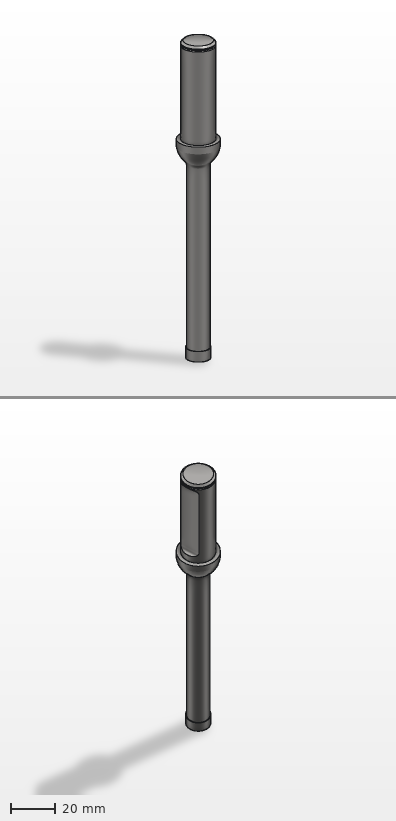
import cadquery as cq
import math

total_length = 157.0
tip_shoulder_z = 1.9
tip_top_z = 7.0
shaft_end_z = 96.2
neck_top_z = 98.6
flange_bottom_z = 105.2
flange_top_z = 108.8

tip_radius = 11.5 / 2
shaft_radius = 10.8 / 2
neck_radius = 6.6
flange_radius = 20.0 / 2
shank_radius = 16.0 / 2

flare_arc_radius = 11.0

top_chamfer = 1.1

groove_z = 155.0
groove_width = 1.0
groove_depth = 0.3

flat_depth = 1.9
flat_start_z = 112.4
flat_end_z = 154.0
runout_length = 2.7


def point_on_inner_side(radius, center, center_z, z):
    """Point at height z on the side of an arc that faces the Z axis."""
    return (center - math.sqrt(radius**2 - (z - center_z) ** 2), z)


def tangent_arc_radius(rise, run):
    """Radius of an arc that starts along the run and departs from it by rise."""
    return (rise**2 + run**2) / (2 * rise)


def make_tip():
    """Drill tip: a short cylinder ending in a shallow cone."""
    return (
        cq.Workplane("XZ")
        .moveTo(0, 0)
        .lineTo(tip_radius, tip_shoulder_z)
        .lineTo(tip_radius, tip_top_z)
        .lineTo(0, tip_top_z)
        .close()
        .revolve(360, (0, 0, 0), (0, 1, 0))
    )


def make_turned_holder():
    """Shaft, flared flange and grooved, chamfered shank turned about the Z axis."""
    neck_arc = tangent_arc_radius(neck_radius - shaft_radius, neck_top_z - shaft_end_z)
    neck_middle = point_on_inner_side(
        neck_arc, shaft_radius + neck_arc, shaft_end_z, (shaft_end_z + neck_top_z) / 2
    )
    return (
        cq.Workplane("XZ")
        .moveTo(0, tip_top_z)
        .lineTo(shaft_radius, tip_top_z)
        .lineTo(shaft_radius, shaft_end_z)
        .threePointArc(neck_middle, (neck_radius, neck_top_z))
        .radiusArc((flange_radius, flange_bottom_z), -flare_arc_radius)
        .lineTo(flange_radius, flange_top_z)
        .lineTo(shank_radius, flange_top_z)
        .lineTo(shank_radius, groove_z - groove_width / 2)
        .lineTo(shank_radius - groove_depth, groove_z)
        .lineTo(shank_radius, groove_z + groove_width / 2)
        .lineTo(shank_radius, total_length - top_chamfer)
        .lineTo(shank_radius - top_chamfer, total_length)
        .lineTo(0, total_length)
        .close()
        .revolve(360, (0, 0, 0), (0, 1, 0))
    )


def make_flat_cutter():
    """Cutter for the clamping flat, with ends that curve out to the shank surface."""
    floor_y = shank_radius - flat_depth
    runout_arc = tangent_arc_radius(flat_depth, runout_length)
    center_y = floor_y + runout_arc
    floor_start_z = flat_start_z + runout_length
    floor_end_z = flat_end_z - runout_length
    start_middle = point_on_inner_side(
        runout_arc, center_y, floor_start_z, flat_start_z + runout_length / 2
    )
    end_middle = point_on_inner_side(
        runout_arc, center_y, floor_end_z, flat_end_z - runout_length / 2
    )
    return (
        cq.Workplane("YZ")
        .moveTo(shank_radius, flat_start_z)
        .threePointArc(start_middle, (floor_y, floor_start_z))
        .lineTo(floor_y, floor_end_z)
        .threePointArc(end_middle, (shank_radius, flat_end_z))
        .close()
        .extrude(shank_radius, both=True)
    )


tip = make_tip()
holder = make_turned_holder().cut(make_flat_cutter())

result = cq.Compound.makeCompound([holder.val(), tip.val()])